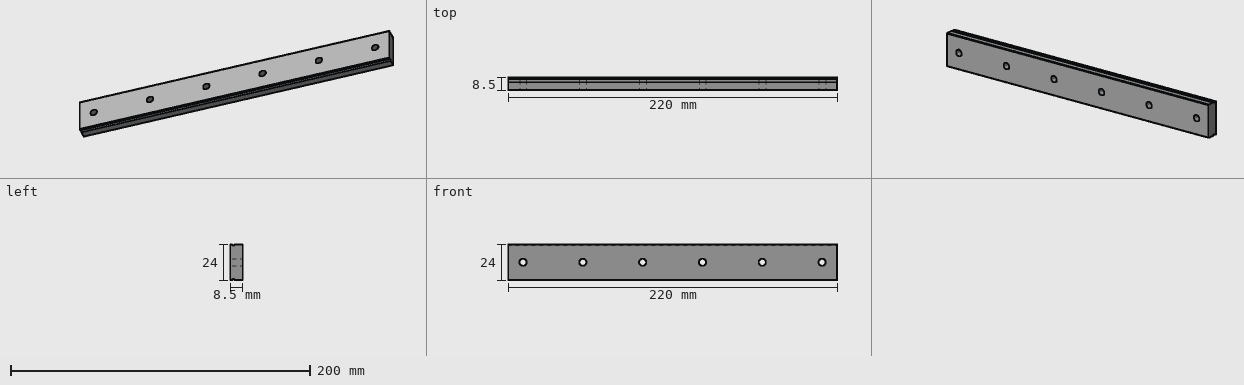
import cadquery as cq

length = 220.0
thickness = 8.5
height = 24.0

edge_chamfer = 0.5

groove_radius = 1.0
groove_depth = 0.7
groove_from_back = 2.2

hole_count = 6
hole_diameter = 4.6
hole_end_distance = length / 22
hole_pitch = (length - 2 * hole_end_distance) / (hole_count - 1)


def make_bar():
    """Flat bar centred on the origin, with its four long edges chamfered."""
    return cq.Workplane("XY").box(length, thickness, height).edges("|X").chamfer(edge_chamfer)


def make_grooves():
    """Two cylinders along X that dip into the top and bottom faces by the groove depth."""
    groove_y = thickness / 2 - groove_from_back
    axis_z = height / 2 + groove_radius - groove_depth
    centres = [(groove_y, -axis_z), (groove_y, axis_z)]
    return (
        cq.Workplane("YZ")
        .pushPoints(centres)
        .circle(groove_radius)
        .extrude(length / 2, both=True)
    )


def make_holes():
    """Evenly spaced cylinders through the thickness, at mid height."""
    return (
        cq.Workplane("XZ")
        .rarray(hole_pitch, 2.2, hole_count, 1)
        .circle(hole_diameter / 2)
        .extrude(thickness, both=True)
    )


result = make_bar().cut(make_grooves()).cut(make_holes())